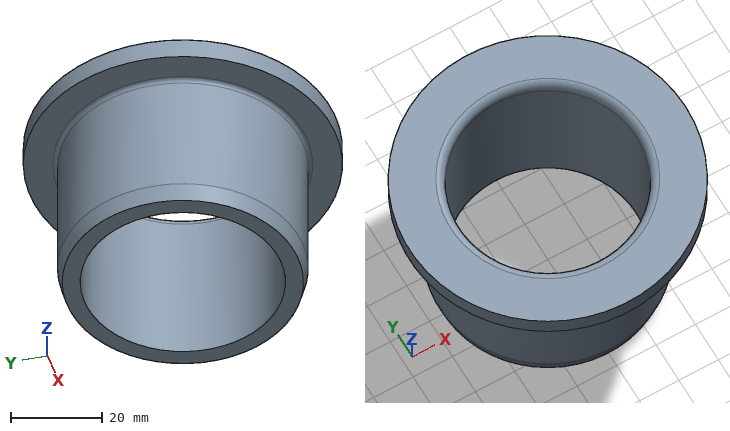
import cadquery as cq
import math

flange_diameter = 70.0
body_diameter = 55.0
bore_diameter = 45.0
total_height = 40.0
flange_thickness = 5.0

bore_mouth_radius = 2.0
neck_fillet_radius = 1.0
lead_in_height = 4.0
lead_in_angle = 15.0

flange_radius = flange_diameter / 2
body_radius = body_diameter / 2
bore_radius = bore_diameter / 2
flange_underside = total_height - flange_thickness
lead_in_radius = body_radius - lead_in_height * math.tan(math.radians(lead_in_angle))


def quarter_arc_middle(center_x, center_z, radius, side_x, side_z):
    """Midpoint of a quarter arc; the sides (+1 or -1) choose the quadrant."""
    offset = radius * math.sqrt(0.5)
    return (center_x + side_x * offset, center_z + side_z * offset)


neck_middle = quarter_arc_middle(
    body_radius + neck_fillet_radius, flange_underside - neck_fillet_radius, neck_fillet_radius, -1, 1
)
mouth_middle = quarter_arc_middle(
    bore_radius + bore_mouth_radius, total_height - bore_mouth_radius, bore_mouth_radius, -1, 1
)

section = (
    cq.Workplane("XZ")
    .moveTo(bore_radius, 0)
    .lineTo(lead_in_radius, 0)
    .lineTo(body_radius, lead_in_height)
    .lineTo(body_radius, flange_underside - neck_fillet_radius)
    .threePointArc(neck_middle, (body_radius + neck_fillet_radius, flange_underside))
    .lineTo(flange_radius, flange_underside)
    .lineTo(flange_radius, total_height)
    .lineTo(bore_radius + bore_mouth_radius, total_height)
    .threePointArc(mouth_middle, (bore_radius, total_height - bore_mouth_radius))
    .close()
)

result = section.revolve(360, (0, 0, 0), (0, 1, 0))